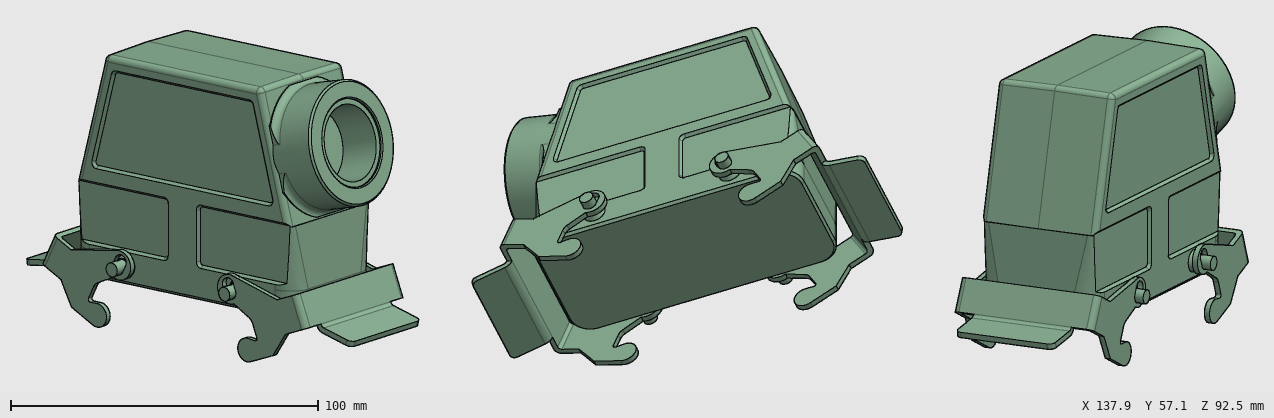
import cadquery as cq
import math


clearance = 6.9

hood_height = 76.1
hood_half_width = 21.2
waist_z = 31.0
waist_half_length = 45.2
waist_corner = 3.0
end_slope = 15
side_draft = 1
upper_round = 2.0
foot_top_z = 9.1
foot_half_length = 46.7
foot_corner = 7.7

panel_depth = 1.1
panel_wall_slope = 38
panel_corner = 1.9
upper_panel_bottom_z = 36.9
upper_panel_top_z = 71.3
upper_panel_bottom_half = 38.7
lower_panel_bottom_z = 10.9
lower_panel_top_z = 32.2
lower_panel_inner_x = 5.9

collar_z = 52.9
collar_length = 15.4
collar_diameter = 41.6
collar_chamfer = 0.7
neck_side_gap = 1.0
neck_end_gap = 1.2
neck_sink = 0.8
neck_radius = 2.3
mouth_diameter = 29.0
mouth_depth = 1.0
mouth_chamfer = 0.4
bore_diameter = 25.5

pin_x = 23.7
pin_z = 6.5
pin_diameter = 4.7
pin_span = 57.1
boss_base_diameter = 7.5
boss_tip_diameter = 5.5
boss_height = 1.8
pin_root = 1.4

seal_height = 1.0
seal_edge_slope = 40

lever_half_width = 25.5
sheet = 1.9
left_lean = 26.5
right_lean = 21.3
eye_radius = 5.0
eye_offset = 1.1
eye_neck = (-2.9, 5.1)
elbow_x = -18.7
slot_travel = 2.6
band_x = -27.33
band_top_z = -6.3
band_bottom_z = -17.9
band_outer_round = 2.0
band_inner_round = 1.1
hook_radius = 4.0
hook_z = -19.5
hook_slope = 27
throat_x = -5.5
throat_top_z = -10.5
throat_top_round = 3.5
throat_bottom_round = 0.8
shank_outer_x = -17.9
shank_heel_x = -10.0
tab_half_width = 17.9
tab_length = 12.0
tab_bend = 55
tab_bend_radius = 1.8
tab_corner = 2.0


def rounded_plan(half_length, corner):
    """Rounded rectangle across the full width of the hood."""
    return cq.Sketch().rect(2 * half_length, 2 * hood_half_width).vertices().fillet(corner)


def end_x(z):
    """Half-length of the sloped upper part at height z."""
    return waist_half_length - (z - waist_z) * math.tan(math.radians(end_slope))


def upper_hood():
    """Trapezoid drafted to both sides of the parting plane, with rounded upper edges."""
    start_z = waist_z - clearance
    outline = [
        (-end_x(start_z), start_z),
        (end_x(start_z), start_z),
        (end_x(hood_height), hood_height),
        (-end_x(hood_height), hood_height),
    ]
    half = cq.Workplane("XZ").polyline(outline).close().extrude(hood_half_width, taper=side_draft)
    half = half.intersect(
        cq.Workplane("XY", origin=(0, 0, waist_z)).rect(
            2 * foot_half_length, 4 * hood_half_width
        ).extrude(hood_height)
    )
    half = half.edges("not(>Y or <Z)").fillet(upper_round)
    return half.union(half.mirror("XZ"))


def lower_hood():
    """Straight foot, then end corners that sharpen towards the waist."""
    foot_plan = rounded_plan(foot_half_length, foot_corner)
    waist_plan = rounded_plan(waist_half_length, waist_corner)
    foot = cq.Workplane("XY", origin=(0, 0, seal_height)).placeSketch(foot_plan)
    foot = foot.extrude(foot_top_z - seal_height)
    taper = (
        cq.Workplane("XY", origin=(0, 0, foot_top_z))
        .placeSketch(foot_plan, waist_plan.moved(cq.Location(cq.Vector(0, 0, waist_z - foot_top_z))))
        .loft(ruled=True)
    )
    return foot.union(taper)


def side_panel(outline):
    """Cutter for one recess in the -Y side, with its walls narrowing inwards."""
    panel = cq.Sketch().polygon(outline + outline[:1]).vertices().fillet(panel_corner)
    return (
        cq.Workplane("XZ", origin=(0, -hood_half_width, 0))
        .placeSketch(panel)
        .extrude(-panel_depth, taper=panel_wall_slope)
    )


def side_panels():
    """One trapezoid panel and two lower panels that run out of the ends, on both sides."""
    top_half = upper_panel_bottom_half - (upper_panel_top_z - upper_panel_bottom_z) * math.tan(
        math.radians(end_slope)
    )
    panels = side_panel([
        (-upper_panel_bottom_half, upper_panel_bottom_z),
        (upper_panel_bottom_half, upper_panel_bottom_z),
        (top_half, upper_panel_top_z),
        (-top_half, upper_panel_top_z),
    ])
    beyond_end = foot_half_length + clearance
    for side in (-1, 1):
        panels = panels.union(side_panel([
            (side * lower_panel_inner_x, lower_panel_bottom_z),
            (side * beyond_end, lower_panel_bottom_z),
            (side * beyond_end, lower_panel_top_z),
            (side * lower_panel_inner_x, lower_panel_top_z),
        ]))
    return panels.union(panels.mirror("XZ"))


def collar_plane():
    """Plane on the sloped +X end face, facing out along the collar axis."""
    slope = math.radians(end_slope)
    return cq.Plane(
        origin=(end_x(collar_z), 0, collar_z),
        xDir=(0, 1, 0),
        normal=(math.cos(slope), 0, math.sin(slope)),
    )


def collar():
    """Round collar with a concave neck that stays inside the flat of the end face."""
    base = cq.Workplane(collar_plane())
    radius = collar_diameter / 2
    tube = base.circle(radius).extrude(collar_length)
    tube = tube.faces(">X").edges().chamfer(collar_chamfer)
    sag = neck_radius * (1 - math.sqrt(0.5))
    neck = (
        cq.Workplane("XY")
        .moveTo(0, -neck_sink)
        .lineTo(radius + neck_radius, -neck_sink)
        .lineTo(radius + neck_radius, 0)
        .threePointArc((radius + sag, sag), (radius, neck_radius))
        .lineTo(0, neck_radius)
        .close()
        .revolve(360, (0, 0, 0), (0, 1, 0))
        .rotate((0, 0, 0), (1, 0, 0), 90)
    )
    flat = cq.Workplane("XY").box(
        2 * (hood_half_width - neck_side_gap),
        2 * (radius + neck_end_gap),
        4 * neck_radius,
    )
    neck = neck.intersect(flat)
    root = base.circle(radius).extrude(-upper_round)
    return tube.union(cq.Workplane(neck.val().moved(collar_plane().location))).union(root)


def cable_bore():
    """Blind bore that ends at the end face, with a wider chamfered mouth."""
    face = cq.Workplane(collar_plane()).workplane(offset=collar_length)
    bore = face.circle(bore_diameter / 2).extrude(-collar_length)
    mouth = face.circle(mouth_diameter / 2).extrude(-mouth_depth)
    bevel = face.circle(mouth_diameter / 2 + mouth_chamfer).extrude(-mouth_chamfer, taper=45)
    return bore.union(mouth).union(bevel)


def pivot_pins():
    """Four pins, each on a conical boss."""
    tip = pin_span / 2
    boss_y = hood_half_width + boss_height
    pins = cq.Workplane("XY")
    for x in (-pin_x, pin_x):
        pin = (
            cq.Workplane("XY")
            .moveTo(0, hood_half_width - pin_root)
            .lineTo(boss_base_diameter / 2, hood_half_width - pin_root)
            .lineTo(boss_base_diameter / 2, hood_half_width)
            .lineTo(boss_tip_diameter / 2, boss_y)
            .lineTo(pin_diameter / 2, boss_y)
            .lineTo(pin_diameter / 2, tip)
            .lineTo(0, tip)
            .close()
            .revolve(360, (0, 0, 0), (0, 1, 0))
            .translate((x, 0, pin_z))
        )
        pins = pins.add(pin).add(pin.mirror("XZ"))
    return pins


def make_hood():
    """Hood with panels, collar, bore and pivot pins."""
    body = lower_hood().union(upper_hood()).cut(side_panels())
    body = body.union(collar()).cut(cable_bore())
    for pin in pivot_pins().vals():
        body = body.union(cq.Workplane(pin))
    return body


def make_seal():
    """Flat seal under the foot; its edge leans in towards the underside."""
    plan = rounded_plan(foot_half_length, foot_corner)
    return (
        cq.Workplane("XY", origin=(0, 0, seal_height))
        .placeSketch(plan)
        .extrude(-seal_height, taper=seal_edge_slope)
    )


def lever_arm_outline():
    """Side outline of a lever without its tab, and the height of the throat's lower corner."""
    slope = math.radians(hook_slope)
    flat_x = -hook_radius * math.sin(slope)
    flat_z = hook_z + hook_radius * math.cos(slope)
    throat_z = flat_z - (flat_x - throat_x) * math.tan(slope)
    eye_bottom = eye_offset - eye_radius
    outline = (
        cq.Workplane("XZ")
        .moveTo(band_x, band_top_z)
        .lineTo(elbow_x, band_top_z)
        .lineTo(*eye_neck)
        .lineTo(0, eye_offset)
        .lineTo(0, eye_bottom)
        .lineTo(throat_x, throat_top_z)
        .lineTo(throat_x, throat_z)
        .lineTo(flat_x, flat_z)
        .lineTo(0, hook_z)
        .lineTo(0, hook_z - hook_radius)
        .lineTo(shank_heel_x, hook_z - hook_radius)
        .lineTo(shank_outer_x, band_bottom_z)
        .lineTo(band_x, band_bottom_z)
        .close()
    )
    return outline, throat_z


def lever_tab():
    """Finger tab bent outwards from the lower edge of the band."""
    inner = tab_bend_radius
    outer = tab_bend_radius + sheet
    centre = cq.Vector(band_x - inner, 0, band_bottom_z)

    def bend_point(radius, degrees):
        angle = math.radians(degrees)
        return (centre.x + radius * math.cos(angle), centre.z - radius * math.sin(angle))

    bend = math.radians(tab_bend)
    run = cq.Vector(-math.sin(bend), -math.cos(bend)) * tab_length
    inner_end = bend_point(inner, tab_bend)
    outer_end = bend_point(outer, tab_bend)
    tab = (
        cq.Workplane("XZ")
        .moveTo(*bend_point(outer, 0))
        .threePointArc(bend_point(outer, tab_bend / 2), outer_end)
        .lineTo(outer_end[0] + run.x, outer_end[1] + run.y)
        .lineTo(inner_end[0] + run.x, inner_end[1] + run.y)
        .lineTo(*inner_end)
        .threePointArc(bend_point(inner, tab_bend / 2), bend_point(inner, 0))
        .close()
        .extrude(tab_half_width, both=True)
    )
    return tab.faces("<X").edges("not |Y").fillet(tab_corner)


def make_lever():
    """Left lever, upright, with its pivot pin at the origin."""
    outline, throat_z = lever_arm_outline()
    body = outline.extrude(lever_half_width, both=True)
    body = body.edges(cq.selectors.NearestToPointSelector((throat_x, 0, throat_z))).fillet(throat_bottom_round)
    body = body.edges(cq.selectors.NearestToPointSelector((throat_x, 0, throat_top_z))).fillet(throat_top_round)
    for radius, z in ((eye_radius, eye_offset), (hook_radius, hook_z)):
        disc = cq.Workplane("XZ", origin=(0, 0, z)).circle(radius).extrude(lever_half_width, both=True)
        body = body.union(disc)
    body = body.faces("<X").edges("|Z").fillet(band_outer_round)

    inner_length = eye_radius - band_x + clearance
    inner_height = 2 * (hook_radius - hook_z + clearance)
    inside = (
        cq.Workplane("XY")
        .box(inner_length, 2 * (lever_half_width - sheet), inner_height)
        .edges("<X and |Z")
        .fillet(band_inner_round)
        .translate((band_x + sheet + inner_length / 2, 0, 0))
    )
    slot = (
        cq.Workplane("XZ", origin=(0, 0, slot_travel / 2))
        .slot2D(slot_travel + pin_diameter, pin_diameter, 90)
        .extrude(lever_half_width, both=True)
    )
    return body.cut(inside).cut(slot).union(lever_tab())


def place_lever(lever, side, lean):
    """Turn a lever about its pin and put it on the left (-1) or right (+1) pins."""
    leaned = lever.rotate((0, 0, 0), (0, 1, 0), lean)
    if side > 0:
        leaned = leaned.mirror("YZ")
    return leaned.translate((side * pin_x, 0, pin_z))


hood = make_hood()
seal = make_seal()
lever = make_lever()
levers = [place_lever(lever, side, lean) for side, lean in ((-1, left_lean), (1, right_lean))]

result = cq.Compound.makeCompound([hood.val(), seal.val(), *[placed.val() for placed in levers]])